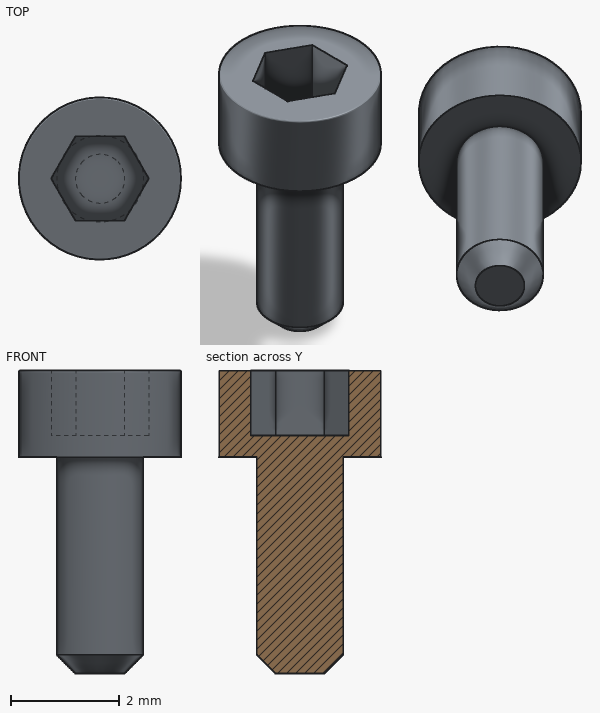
import cadquery as cq
import math

total_length = 5.6
head_diameter = 3.0
head_height = 1.6
head_edge_radius = 0.035
shank_diameter = 1.6
tip_chamfer = 0.35
socket_across_flats = 1.56
socket_depth = 1.2

shank_length = total_length - head_height


def make_shank():
    """Plain cylindrical shank with a 45 degree chamfered tip."""
    shank = cq.Workplane("XY").circle(shank_diameter / 2).extrude(shank_length)
    return shank.faces("<Z").chamfer(tip_chamfer)


def make_head():
    """Cylindrical head with a small round on its top edge."""
    head = cq.Workplane("XY").workplane(offset=shank_length)
    head = head.circle(head_diameter / 2).extrude(head_height)
    return head.faces(">Z").edges().fillet(head_edge_radius)


def make_socket():
    """Hexagonal key socket, with two corners on the X axis."""
    corner_distance = socket_across_flats / math.cos(math.pi / 6)
    socket = cq.Workplane("XY").workplane(offset=total_length)
    return socket.polygon(6, corner_distance).extrude(-socket_depth)


result = make_shank().union(make_head()).cut(make_socket())